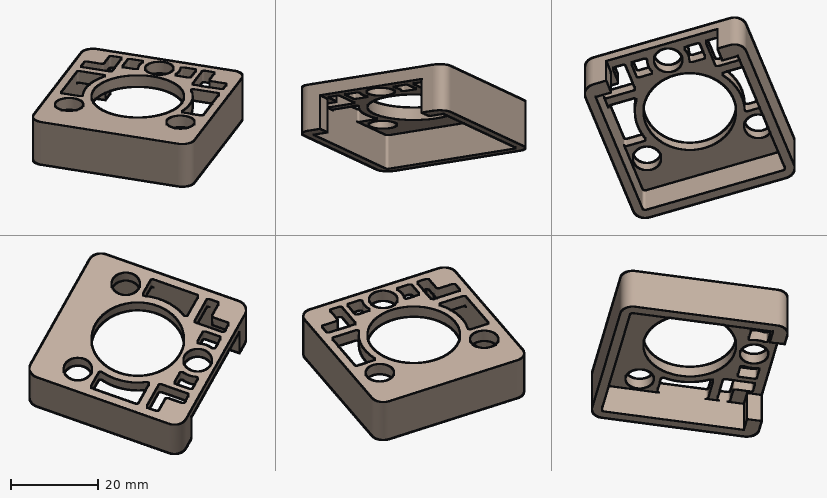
import cadquery as cq

side = 39.0
height = 11.0
corner_radius = 2.92
wall = 2.25
plate_thickness = 3.0
half = side / 2
inner_half = half - wall
plate_bottom = height - plate_thickness

bore_diameter = 21.2
hole_diameter = 6.5
hole_centers = [(0, 15.0), (-13.5, -9.0), (13.5, -9.0)]

opening_half_width = 13.45
post_front_y = 16.03

window_radius = 0.5
window_top = 7.65
window_bottom = -4.25
rim_radius = 12.6
slot_top = inner_half
angle_inner_x = 9.75
angle_bottom = 9.75
angle_arm = 3.0
port_outer_x = 8.3
port_bottom = 12.75
port_clearance_radius = 4.85


def plate_prism(sketch):
    """Extrude a closed outline through the top plate."""
    return sketch.extrude(plate_thickness)


def plate_plane():
    """Workplane on the underside of the top plate."""
    return cq.Workplane("XY").workplane(offset=plate_bottom)


def rounded(cutter):
    """Round the upright edges of a window."""
    return cutter.edges("|Z").fillet(window_radius)


def side_window():
    """Tall window whose inner side follows the rim around the bore."""
    center_y = (window_top + window_bottom) / 2
    box = plate_plane().center(inner_half / 2, center_y).rect(inner_half, window_top - window_bottom)
    rim = plate_prism(plate_plane().circle(rim_radius))
    return rounded(plate_prism(box).cut(rim))


def angle_window():
    """L-shaped window near the back corner."""
    outline = plate_plane().polyline([
        (angle_inner_x, angle_bottom),
        (inner_half, angle_bottom),
        (inner_half, angle_bottom + angle_arm),
        (angle_inner_x + angle_arm, angle_bottom + angle_arm),
        (angle_inner_x + angle_arm, slot_top),
        (angle_inner_x, slot_top),
    ]).close()
    return rounded(plate_prism(outline))


def port_window():
    """Small window beside the back hole, with its inner side following that hole."""
    center_y = (slot_top + port_bottom) / 2
    box = plate_plane().center(port_outer_x / 2, center_y).rect(port_outer_x, slot_top - port_bottom)
    rim = plate_prism(plate_plane().center(*hole_centers[0]).circle(port_clearance_radius))
    return rounded(plate_prism(box).cut(rim))


body = cq.Workplane("XY").box(side, side, height, centered=(True, True, False))
body = body.edges("|Z").fillet(corner_radius)
cavity_side = 2 * inner_half
cavity = cq.Workplane("XY").box(cavity_side, cavity_side, plate_bottom, centered=(True, True, False))
cavity = cavity.edges("|Z").fillet(corner_radius - wall)
body = body.cut(cavity)

post_x = (opening_half_width + half) / 2
post_y = (post_front_y + half) / 2
post_width = half - opening_half_width
post_depth = half - post_front_y
posts = cq.Workplane("XY").pushPoints([(-post_x, post_y), (post_x, post_y)])
posts = posts.rect(post_width, post_depth).extrude(plate_bottom)
body = body.union(posts.intersect(cavity))

opening = cq.Workplane("XY").center(0, post_y).rect(2 * opening_half_width, post_depth)
body = body.cut(opening.extrude(plate_bottom))

body = body.cut(plate_prism(plate_plane().circle(bore_diameter / 2)))
body = body.cut(plate_prism(plate_plane().pushPoints(hole_centers).circle(hole_diameter / 2)))

for window in (side_window(), angle_window(), port_window()):
    body = body.cut(window).cut(window.mirror("YZ"))

result = body